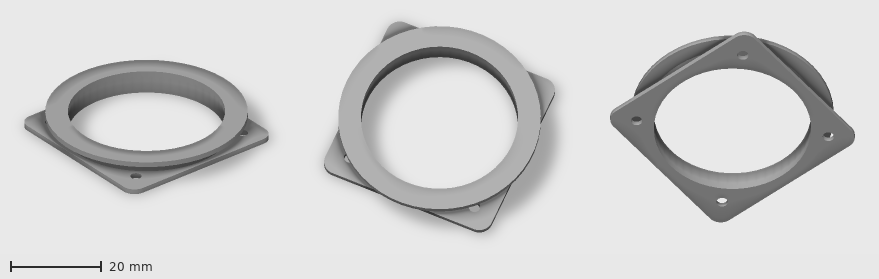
import cadquery as cq

total_height = 5.4
bore_diameter = 34.6

plate_side = 40.0
plate_thickness = 1.2
plate_corner_radius = 3.0
hole_diameter = 2.5
hole_spacing = 30.0

neck_diameter = 38.0
flange_diameter = 44.6
flange_thickness = 1.2
neck_height = total_height - plate_thickness - flange_thickness


def mounting_plate():
    """Rounded square plate with a screw hole in each corner."""
    return (
        cq.Workplane("XY")
        .rect(plate_side, plate_side)
        .extrude(plate_thickness)
        .edges("|Z")
        .fillet(plate_corner_radius)
        .faces(">Z")
        .workplane()
        .rect(hole_spacing, hole_spacing, forConstruction=True)
        .vertices()
        .hole(hole_diameter)
    )


def add_neck_and_flange(plate):
    """Stack the narrow neck and the wide flange on the plate."""
    return (
        plate.faces(">Z")
        .workplane()
        .circle(neck_diameter / 2)
        .extrude(neck_height)
        .faces(">Z")
        .workplane()
        .circle(flange_diameter / 2)
        .extrude(flange_thickness)
    )


result = add_neck_and_flange(mounting_plate()).faces(">Z").workplane().hole(bore_diameter)